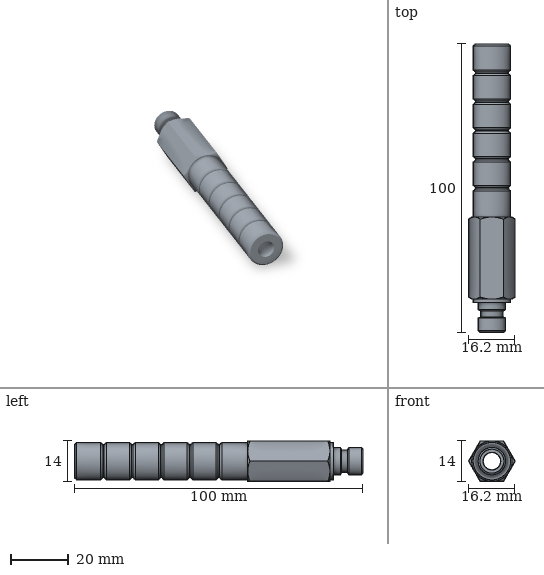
import cadquery as cq
import math

total_length = 100.0
shank_length = 60.0
hex_start = 11.5
collar_start = 10.3
hex_end = total_length - shank_length

shank_radius = 6.5
shank_chamfer = 0.7
groove_count = 5
groove_pitch = 10.0
groove_half_width = 1.0
groove_floor_half_width = 0.25
groove_depth = groove_half_width - groove_floor_half_width

hex_across_flats = 14.0
hex_corner_radius = hex_across_flats / math.sqrt(3)
hex_face_radius = hex_across_flats / 2
hex_chamfer_angle = math.radians(35)

plug_diameter = 9.5
plug_radius = plug_diameter / 2
plug_chamfer = 0.6
waist_radius = 3.9
waist_start = 4.9
waist_end = 7.9
waist_slope = 0.5

bore_radius = 3.0


def revolve_about_y(points):
    """Turn a closed (radius, Y) outline about the Y axis."""
    return cq.Workplane("XY").polyline(points).close().revolve(360, (0, 0), (0, 1))


def make_shank():
    """Round shank with flat-floored 45-degree grooves and a chamfered free end."""
    outline = [(0, hex_end), (shank_radius, hex_end)]
    for index in range(groove_count, 0, -1):
        centre = total_length - index * groove_pitch
        outline += [
            (shank_radius, centre - groove_half_width),
            (shank_radius - groove_depth, centre - groove_floor_half_width),
            (shank_radius - groove_depth, centre + groove_floor_half_width),
            (shank_radius, centre + groove_half_width),
        ]
    outline += [
        (shank_radius, total_length - shank_chamfer),
        (shank_radius - shank_chamfer, total_length),
        (0, total_length),
    ]
    return revolve_about_y(outline)


def make_hex_grip():
    """Hexagonal bar with conical chamfers on the corners at both ends."""
    corner_drop = (hex_corner_radius - hex_face_radius) * math.tan(hex_chamfer_angle)
    bar = (
        cq.Workplane("XZ", origin=(0, hex_start, 0))
        .polygon(6, 2 * hex_corner_radius)
        .extrude(hex_start - hex_end)
    )
    envelope = revolve_about_y([
        (0, hex_start),
        (hex_face_radius, hex_start),
        (hex_corner_radius, hex_start + corner_drop),
        (hex_corner_radius, hex_end - corner_drop),
        (hex_face_radius, hex_end),
        (0, hex_end),
    ])
    return bar.intersect(envelope)


def make_plug():
    """Stepped plug with a chamfered tip, a waist and a collar against the grip."""
    return revolve_about_y([
        (0, 0),
        (plug_radius - plug_chamfer, 0),
        (plug_radius, plug_chamfer),
        (plug_radius, waist_start),
        (waist_radius, waist_start + waist_slope),
        (waist_radius, waist_end - waist_slope),
        (plug_radius, waist_end),
        (plug_radius, collar_start),
        (shank_radius, collar_start),
        (shank_radius, hex_start),
        (0, hex_start),
    ])


def make_bore():
    """Round hole through the whole length."""
    return cq.Workplane("XZ").circle(bore_radius).extrude(-total_length)


result = make_plug().union(make_hex_grip()).union(make_shank()).cut(make_bore())